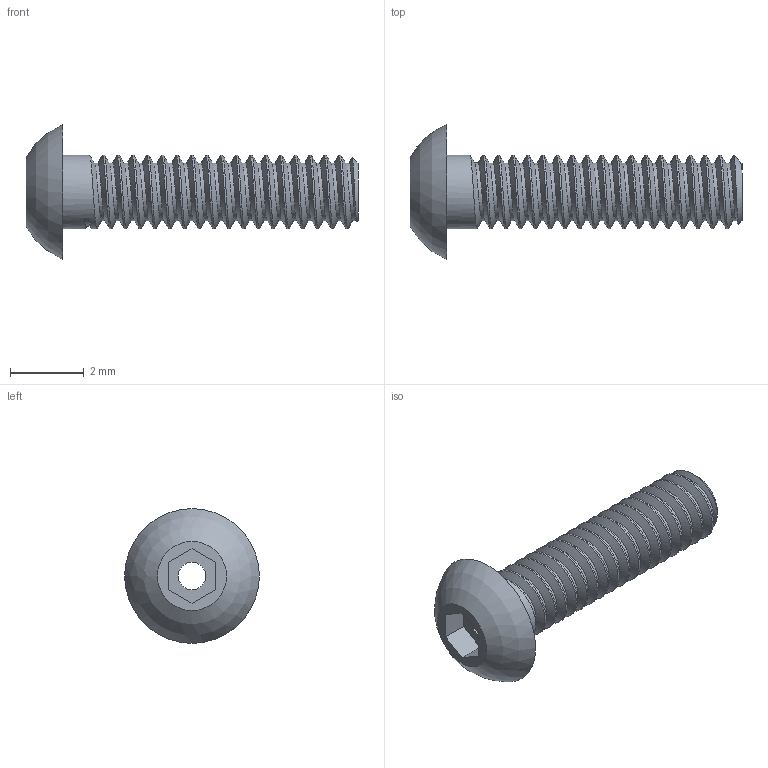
import cadquery as cq
import math

head_radius = 1.825
head_height = 0.99
head_flat_radius = 0.935

shank_radius = 1.0
shank_length = 8.0
pitch = 0.4
fundamental_height = pitch * math.sqrt(3) / 2
thread_depth = fundamental_height * 5 / 8
root_radius = shank_radius - thread_depth
root_flat = pitch / 4
flank_tan = math.tan(math.radians(30))
groove_overshoot = 0.02
thread_start_x = 0.805
thread_start_angle = 90
section_turns = 3
section_count = math.ceil((shank_length + pitch - thread_start_x) / (section_turns * pitch))
runout_angle = math.radians(135)
runout_steps = 12

hex_flats = 1.28
hex_depth = 0.69
bore_diameter = 0.75


def head_and_shank():
    """Revolve the domed head and the shank with its 45 degree point about X."""
    dome_center_x = (head_radius**2 - head_flat_radius**2 - head_height**2) / (2 * head_height)
    dome_radius = math.hypot(head_radius, dome_center_x)
    dome_mid_x = -head_height / 2
    dome_mid_radius = math.sqrt(dome_radius**2 - (dome_mid_x - dome_center_x)**2)
    profile = (
        cq.Workplane("XY")
        .moveTo(-head_height, 0)
        .lineTo(-head_height, head_flat_radius)
        .threePointArc((dome_mid_x, dome_mid_radius), (0, head_radius))
        .lineTo(0, shank_radius)
        .lineTo(shank_length - thread_depth, shank_radius)
        .lineTo(shank_length, root_radius)
        .lineTo(shank_length, 0)
        .close()
    )
    return profile.revolve(360, (0, 0, 0), (1, 0, 0))


def groove_solid(make_rail):
    """Close a groove solid over four rails, each made from a radius and an axial offset."""
    outer_radius = shank_radius + groove_overshoot
    root_half = root_flat / 2
    outer_half = root_half + (outer_radius - root_radius) * flank_tan
    corners = [
        (root_radius, -root_half),
        (outer_radius, -outer_half),
        (outer_radius, outer_half),
        (root_radius, root_half),
    ]
    rails = [make_rail(radius, offset) for radius, offset in corners]
    sides = [cq.Face.makeRuledSurface(rails[i - 1], rails[i]) for i in range(len(rails))]
    start_outline = cq.Wire.makePolygon([rail.positionAt(0) for rail in rails], close=True)
    end_outline = cq.Wire.makePolygon([rail.positionAt(1) for rail in rails], close=True)
    ends = [cq.Face.makeFromWires(start_outline), cq.Face.makeFromWires(end_outline)]
    solid = cq.Solid.makeSolid(cq.Shell.makeShell(sides + ends)).fix()
    return cq.Workplane(obj=solid)


def full_rail(radius, offset):
    """Right-hand helix about Z that starts in the XZ plane and covers one section of thread."""
    helix = cq.Wire.makeHelix(pitch, pitch * section_turns, radius, cq.Vector(0, 0, offset))
    return helix.Edges()[0]


def runout_rail(radius, offset):
    """Helix leading into the full thread, sinking from the shank surface to full depth."""
    points = []
    for step in range(runout_steps + 1):
        remaining = 1 - step / runout_steps
        angle = -remaining * runout_angle
        local_radius = radius + remaining * thread_depth
        points.append(cq.Vector(
            local_radius * math.cos(angle),
            local_radius * math.sin(angle),
            offset + pitch * angle / (2 * math.pi),
        ))
    return cq.Edge.makeSpline(points)


def lay_along_shank(groove):
    """Turn a groove from the Z axis onto the X axis, so that it starts full depth on the +Y side."""
    return (
        groove
        .rotate((0, 0, 0), (0, 1, 0), 90)
        .rotate((0, 0, 0), (1, 0, 0), thread_start_angle)
        .translate((thread_start_x, 0, 0))
    )


def hex_socket():
    """Hexagonal drive socket with corners on the Z axis."""
    corner_diameter = hex_flats / math.cos(math.radians(30))
    return (
        cq.Workplane("YZ", origin=(-head_height, 0, 0))
        .transformed(rotate=(0, 0, 90))
        .polygon(6, corner_diameter)
        .extrude(hex_depth)
    )


def bore():
    """Round hole along the whole screw."""
    return (
        cq.Workplane("YZ", origin=(-head_height, 0, 0))
        .circle(bore_diameter / 2)
        .extrude(head_height + shank_length)
    )


def threaded(body):
    """Cut the runout and then the full-depth thread, past the end of the shank."""
    body = body.cut(lay_along_shank(groove_solid(runout_rail)))
    thread_section = lay_along_shank(groove_solid(full_rail))
    for section in range(section_count):
        body = body.cut(thread_section.translate((section * section_turns * pitch, 0, 0)))
    return body


result = threaded(head_and_shank()).cut(hex_socket()).cut(bore())